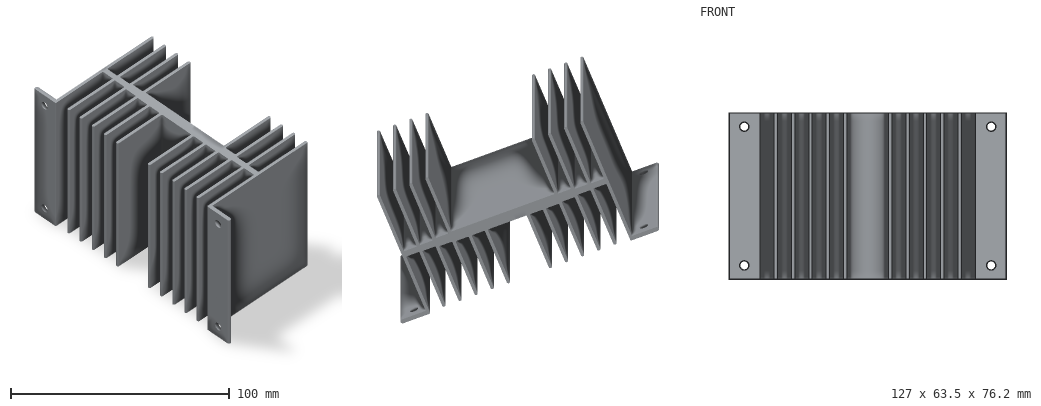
import cadquery as cq

overall_width = 127.0
overall_depth = 63.5
length = 76.2
back_y = overall_depth / 2
front_y = -overall_depth / 2
bottom_z = -length / 2

fin_thickness = 1.524
fin_pitch = 7.9375
wall_center_x = 50.0
front_fin_count = 6
back_fin_count = 4
front_fin_setback = 0.8
root_radius = 0.381

web_thicknesses = [2.8, 3.175, 4.4, 5.2]

foot_thickness = 2.0
heel_radius = 0.381
hole_diameter = 4.1
hole_spacing_x = 113.0
hole_spacing_z = 63.5

position_tolerance = 1e-4


def fin_x(index):
    """Distance of a fin's middle plane from X = 0."""
    return wall_center_x - index * fin_pitch


def web_half_thickness(bay):
    """Half thickness of the web in the bay just inside the fin of that number."""
    return web_thicknesses[min(bay, len(web_thicknesses) - 1)] / 2


def fillet_corners(body, corners, radius):
    """Fillet the Z edges at the given XY corners and at their mirror images in X."""

    def at_corner(edge):
        center = edge.Center()
        return any(
            abs(abs(center.x) - x) < position_tolerance and abs(center.y - y) < position_tolerance
            for x, y in corners
        )

    return body.newObject(body.edges("|Z").filter(at_corner).vals()).fillet(radius)


def make_web():
    """Stepped web: nested slabs, each shorter and thicker than the last."""
    web = cq.Workplane("XY")
    for bay, thickness in enumerate(web_thicknesses):
        web = web.union(cq.Workplane("XY").box(2 * fin_x(bay), thickness, length))
    return web


def make_fin(x, tip_y):
    """Fin from the web's middle plane to a full-round tip."""
    tip_radius = fin_thickness / 2
    direction = 1 if tip_y > 0 else -1
    shoulder_y = tip_y - direction * tip_radius
    return (
        cq.Workplane("XY", origin=(0, 0, bottom_z))
        .moveTo(x - tip_radius, 0)
        .lineTo(x - tip_radius, shoulder_y)
        .threePointArc((x, tip_y), (x + tip_radius, shoulder_y))
        .lineTo(x + tip_radius, 0)
        .close()
        .extrude(length)
    )


def make_leg():
    """Front part of the +X outer wall, ending in an outward foot with a full-round tip."""
    wall_inside_x = wall_center_x - fin_thickness / 2
    wall_outside_x = wall_center_x + fin_thickness / 2
    foot_back_y = front_y + foot_thickness
    tip_x = overall_width / 2
    tip_start_x = tip_x - foot_thickness / 2
    leg = (
        cq.Workplane("XY", origin=(0, 0, bottom_z))
        .moveTo(wall_inside_x, 0)
        .lineTo(wall_inside_x, front_y)
        .lineTo(tip_start_x, front_y)
        .threePointArc((tip_x, front_y + foot_thickness / 2), (tip_start_x, foot_back_y))
        .lineTo(wall_outside_x, foot_back_y)
        .lineTo(wall_outside_x, 0)
        .close()
        .extrude(length)
    )
    return fillet_corners(leg, [(wall_inside_x, front_y)], heel_radius)


def make_half_fins():
    """The leg and all fins on the +X side."""
    fins = make_leg()
    for index in range(1, front_fin_count):
        fins = fins.union(make_fin(fin_x(index), front_y + front_fin_setback))
    for index in range(back_fin_count):
        fins = fins.union(make_fin(fin_x(index), back_y))
    return fins


def fillet_roots(body):
    """Round the inside corners where the fins meet the web."""
    corners = []
    for count, direction in ((front_fin_count, -1), (back_fin_count, 1)):
        for index in range(count):
            inner_x = fin_x(index) - fin_thickness / 2
            outer_x = fin_x(index) + fin_thickness / 2
            corners.append((inner_x, direction * web_half_thickness(index)))
            if index > 0:
                corners.append((outer_x, direction * web_half_thickness(index - 1)))
    return fillet_corners(body, corners, root_radius)


def drill_feet(body):
    """Four mounting holes through the feet along Y."""
    holes = (
        cq.Workplane("XZ", origin=(0, front_y, 0))
        .rect(hole_spacing_x, hole_spacing_z, forConstruction=True)
        .vertices()
        .circle(hole_diameter / 2)
        .extrude(-foot_thickness)
    )
    return body.cut(holes)


half_fins = make_half_fins()
blank = make_web().union(half_fins).union(half_fins.mirror("YZ")).clean()
result = drill_feet(fillet_roots(blank))